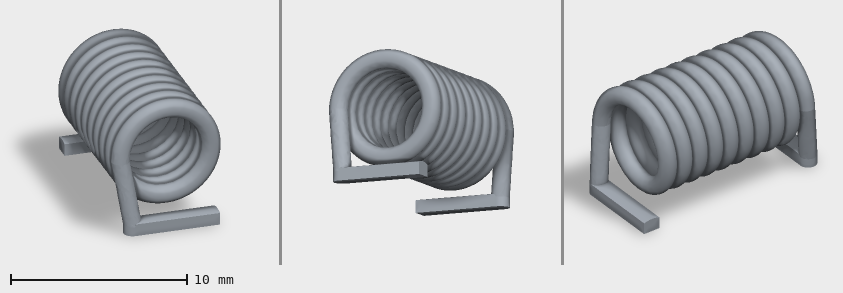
import cadquery as cq

length = 12.49
height = 7.62
coil_diameter = 6.67
wire_diameter = 1.07
turns = 9.5
winding_length = 10.29
foot_side_height = 0.72
foot_crown_height = 0.81
leg_base_height = 0.56

wire_radius = wire_diameter / 2
coil_radius = coil_diameter / 2 - wire_radius
axis_height = height - coil_diameter / 2
pitch = winding_length / turns
coil_start_x = -winding_length / 2
foot_x = -length / 2 + wire_radius
leg_base_y = coil_radius - wire_radius
foot_length = leg_base_y + coil_radius


def make_coil():
    """Right-handed winding along X, from the +Y side over the top to the -Y side."""
    helix = cq.Wire.makeHelix(pitch, winding_length, coil_radius)
    helix = helix.rotate(cq.Vector(0, 0, 0), cq.Vector(1, 1, 1), 120)
    helix = helix.translate(cq.Vector(coil_start_x, 0, axis_height))
    section = cq.Workplane("XY", origin=(coil_start_x, coil_radius, axis_height)).circle(wire_radius)
    return section.sweep(cq.Workplane(obj=helix), isFrenet=True)


def make_leg():
    """Slanted round wire from the round end of the foot up to the start of the coil."""
    return (
        cq.Workplane("XY", origin=(foot_x, leg_base_y, leg_base_height))
        .circle(wire_radius)
        .workplane(offset=axis_height - leg_base_height)
        .center(coil_start_x - foot_x, coil_radius - leg_base_y)
        .circle(wire_radius)
        .loft(ruled=True)
    )


def make_foot():
    """Flat-bottomed bar with a crowned top and an upright round end below the leg."""
    bar = (
        cq.Workplane("XZ", origin=(foot_x, leg_base_y, 0))
        .moveTo(-wire_radius, 0)
        .lineTo(wire_radius, 0)
        .lineTo(wire_radius, foot_side_height)
        .threePointArc((0, foot_crown_height), (-wire_radius, foot_side_height))
        .close()
        .extrude(foot_length)
    )
    round_end = (
        cq.Workplane("XY", origin=(foot_x, leg_base_y, 0))
        .circle(wire_radius)
        .extrude(leg_base_height)
    )
    return bar.union(round_end)


terminal = make_foot().union(make_leg())
opposite_terminal = terminal.rotate((0, 0, 0), (0, 0, 1), 180)
result = make_coil().union(terminal).union(opposite_terminal)